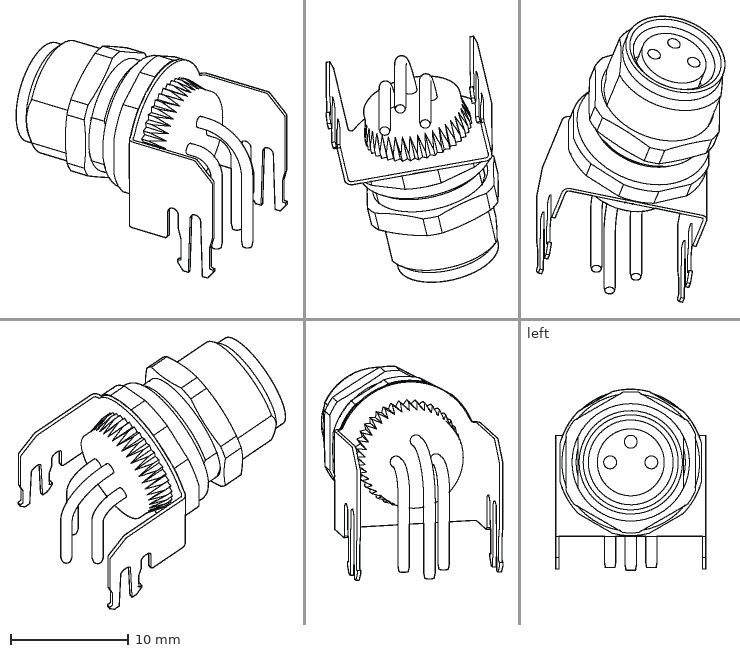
import cadquery as cq
import math


lip_radius = 4.4
lip_length = 1.0
body_radius = 5.0
body_flat_width = 9.0
body_straight_end = 8.7
mouth_radius = 4.05
bore_radius = 3.61

insert_radius = 2.85
insert_recess = 0.47
bead_center_x = 4.13
contact_hole_diameter = 1.1
contact_hole_depth = 4.95

ring_tube_radius = 0.75
ring_center_radius = 5.12
neck_radius = ring_center_radius - ring_tube_radius

flange_start = 10.51
flange_thickness = 1.49
flange_across_flats = 12.02
flange_corner_radius = 6.24
flange_end = flange_start + flange_thickness
ring_center_x = flange_start - ring_tube_radius

tooth_count = 40
tooth_crest_radius = 4.6
collar_radius = 4.21
knurl_taper_start = 12.93
knurl_end = 14.48
collar_end = 15.45
collar_edge_radius = 0.23

nut_start = 5.45
nut_thickness = 2.02
nut_across_flats = 11.0
nut_corner_radius = 6.0
nut_face_radius = 5.45
nut_chamfer_length = 0.17
nut_bore_radius = 4.65

pin_radius = 0.5
pin_tip_radius = 0.41
pin_tip_length = 0.45
pin_circle_radius = 1.75
pin_bend_start = 16.15
pin_reach = 20.65 - pin_radius
side_pin_reach = 18.15
middle_pin_bottom = -9.19
side_pin_bottom = -8.96

sheet = 0.3
bracket_width = 12.8
bracket_top = 2.3
bracket_bottom = -6.3
bracket_arch_radius = 6.15
arch_fillet = 0.3
outer_bend_radius = 0.6
inner_bend_radius = outer_bend_radius - sheet
wing_end = 20.38
wing_corner_cut = 1.73
wing_corner_radius = 0.27
wing_bottom_corner = 0.2

lock_center_x = 18.7
slot_radius = 0.52
slot_center_z = -3.65
slot_bottom_half_width = 0.68
leg_shoulder = wing_end - lock_center_x
leg_waist = 1.4
barb_reach = 1.73
leg_tip = 1.2
shoulder_z = -5.0
waist_z = -6.0
barb_top_z = -8.12
barb_low_z = -8.38
barb_root_radius = 0.12
barb_nose_radius = 0.2
lock_bottom = -9.09


def cylinder_along_x(radius, start, end):
    return cq.Workplane("YZ").workplane(offset=start).circle(radius).extrude(end - start)


def revolve_about_x(profile):
    return profile.close().revolve(360, (0, 0, 0), (1, 0, 0))


def hexagonal_prism(across_flats, start, thickness):
    """Hexagonal prism along X with one pair of flats facing +Y and -Y."""
    across_corners = across_flats / math.cos(math.pi / 6)
    prism = cq.Workplane("YZ").workplane(offset=start).polygon(6, across_corners).extrude(thickness)
    return prism.rotate((0, 0, 0), (1, 0, 0), 30)


def make_sleeve():
    """Solid front sleeve with lip, chamfered ends and two wrench flats."""
    front_chamfer = body_radius - lip_radius
    rear_chamfer = body_radius - neck_radius
    sleeve = revolve_about_x(
        cq.Workplane("XY")
        .lineTo(0, lip_radius)
        .lineTo(lip_length, lip_radius)
        .lineTo(lip_length + front_chamfer, body_radius)
        .lineTo(body_straight_end, body_radius)
        .lineTo(body_straight_end + rear_chamfer, neck_radius)
        .lineTo(body_straight_end + rear_chamfer, 0)
    )
    flat_limits = cq.Workplane("XY").box(2 * flange_end, body_flat_width, 2 * body_radius)
    return sleeve.intersect(flat_limits)


def make_shell():
    """Sleeve with the neck that carries the sealing ring and the socket cavity."""
    neck = cylinder_along_x(neck_radius, body_straight_end, flange_start)

    mouth_chamfer = mouth_radius - bore_radius
    cavity = revolve_about_x(
        cq.Workplane("XY")
        .lineTo(0, mouth_radius)
        .lineTo(mouth_chamfer, bore_radius)
        .lineTo(bead_center_x, bore_radius)
        .lineTo(bead_center_x, insert_radius)
        .lineTo(insert_recess, insert_radius)
        .lineTo(insert_recess, 0)
    )
    return make_sleeve().union(neck).cut(cavity)


def make_bead():
    """Rounded floor of the annular gap between the bore and the insert."""
    gap = bore_radius - insert_radius
    return revolve_about_x(
        cq.Workplane("XY")
        .moveTo(bead_center_x, insert_radius)
        .threePointArc((bead_center_x - gap / 2, insert_radius + gap / 2), (bead_center_x, bore_radius))
        .lineTo(bead_center_x + gap, bore_radius)
        .lineTo(bead_center_x + gap, insert_radius)
    )


def make_contact_holes():
    centers = [(pin_circle_radius, 0), (-pin_circle_radius, 0), (0, pin_circle_radius)]
    return (
        cq.Workplane("YZ")
        .workplane(offset=insert_recess)
        .pushPoints(centers)
        .circle(contact_hole_diameter / 2)
        .extrude(contact_hole_depth)
    )


def make_flange():
    prism = hexagonal_prism(flange_across_flats, flange_start, flange_thickness)
    return prism.intersect(cylinder_along_x(flange_corner_radius, flange_start, flange_end))


def make_collar():
    """Rear collar with V-shaped knurl teeth that a cone tapers down to the plain rim."""
    half_pitch = math.pi / tooth_count
    tooth_points = []
    for index in range(2 * tooth_count):
        radius = tooth_crest_radius if index % 2 == 0 else collar_radius
        angle = index * half_pitch
        tooth_points.append((radius * math.cos(angle), radius * math.sin(angle)))
    teeth = (
        cq.Workplane("YZ")
        .workplane(offset=flange_end)
        .polyline(tooth_points)
        .close()
        .extrude(knurl_end - flange_end)
    )
    taper = revolve_about_x(
        cq.Workplane("XY")
        .moveTo(flange_end, 0)
        .lineTo(flange_end, tooth_crest_radius)
        .lineTo(knurl_taper_start, tooth_crest_radius)
        .lineTo(knurl_end, collar_radius)
        .lineTo(knurl_end, 0)
    )
    rim = cylinder_along_x(collar_radius, knurl_end, collar_end)
    rim = rim.faces(">X").edges().fillet(collar_edge_radius)
    return teeth.intersect(taper).union(rim)


def make_pin(y, z, reach, bottom):
    """Round pin leaving the collar along X, bent down, with a tapered tip."""
    bend_radius = reach - pin_bend_start
    bend_mid = bend_radius * math.sin(math.pi / 4)
    path = (
        cq.Workplane("XZ", origin=(0, y, 0))
        .moveTo(knurl_end, z)
        .lineTo(pin_bend_start, z)
        .threePointArc(
            (pin_bend_start + bend_mid, z - bend_radius + bend_mid),
            (reach, z - bend_radius),
        )
        .lineTo(reach, bottom + pin_tip_length)
    )
    wire = cq.Workplane("YZ", origin=(knurl_end, y, z)).circle(pin_radius).sweep(path)
    tip = (
        cq.Workplane("XY", origin=(reach, y, bottom))
        .circle(pin_tip_radius)
        .workplane(offset=pin_tip_length)
        .circle(pin_radius)
        .loft()
    )
    return wire.union(tip)


def board_lock_side(profile, sign):
    """Add one leg of the board lock, from its slot at the tip to its outer shoulder."""
    stations = [
        (slot_bottom_half_width, lock_bottom),
        (leg_tip, lock_bottom),
        (barb_reach, barb_low_z),
        (barb_reach, barb_top_z),
        (leg_waist, barb_top_z),
        (leg_waist, waist_z),
        (leg_shoulder, shoulder_z),
    ]
    if sign < 0:
        stations.reverse()
    for distance, z in stations:
        profile = profile.lineTo(lock_center_x + sign * distance, z)
    return profile


def round_profile_corner(wings, x, z, radius):
    """Fillet the cross-wise edge at one corner of the side outline."""
    corner = cq.selectors.NearestToPointSelector((x, 0, z))
    return wings.edges("|Y").edges(corner).fillet(radius)


def make_wing_profile():
    """Side outline of the bracket, extruded across its whole width."""
    relief_right = lock_center_x - leg_shoulder
    relief_center = relief_right - slot_radius
    relief_left = relief_center - slot_radius
    slot_top = slot_center_z + slot_radius
    profile = (
        cq.Workplane("XZ")
        .moveTo(flange_end, bracket_top)
        .lineTo(flange_end, bracket_bottom)
        .lineTo(relief_left - wing_bottom_corner, bracket_bottom)
        .lineTo(relief_left, bracket_bottom + wing_bottom_corner)
        .lineTo(relief_left, slot_center_z)
        .threePointArc((relief_center, slot_top), (relief_right, slot_center_z))
    )
    profile = board_lock_side(profile, -1)
    profile = profile.lineTo(lock_center_x - slot_radius, slot_center_z).threePointArc(
        (lock_center_x, slot_top), (lock_center_x + slot_radius, slot_center_z)
    )
    profile = board_lock_side(profile, 1)
    profile = profile.lineTo(wing_end, bracket_top - wing_corner_cut).lineTo(
        wing_end - wing_corner_cut, bracket_top
    )
    wings = profile.close().extrude(bracket_width / 2, both=True)
    wings = round_profile_corner(wings, wing_end, bracket_top - wing_corner_cut, wing_corner_radius)
    wings = round_profile_corner(wings, wing_end - wing_corner_cut, bracket_top, wing_corner_radius)
    for sign in (-1, 1):
        leg_x = lock_center_x + sign * leg_waist
        barb_x = lock_center_x + sign * barb_reach
        wings = round_profile_corner(wings, leg_x, barb_top_z, barb_root_radius)
        wings = round_profile_corner(wings, barb_x, barb_low_z, barb_nose_radius)
    return wings


def bent_block(front, width, bend_radius):
    """Tall block from the given front face back to the barb tips, with rounded front corners."""
    length = lock_center_x + barb_reach - front
    height = bracket_top - lock_bottom
    block = cq.Workplane("XY", origin=(front, 0, lock_bottom)).box(
        length, width, height, centered=(False, True, False)
    )
    return block.edges("|Z and <X").fillet(bend_radius)


def make_bracket():
    """Folded sheet: an arched plate behind the flange and two wings with board locks."""
    inner_width = bracket_width - 2 * sheet
    plate_back = flange_end + sheet
    channel = bent_block(flange_end, bracket_width, outer_bend_radius)
    channel = channel.cut(bent_block(plate_back, inner_width, inner_bend_radius))
    arch = cylinder_along_x(bracket_arch_radius, flange_end, plate_back)
    above_plate = (
        cq.Workplane("XY", origin=(0, 0, bracket_top))
        .rect(4 * plate_back, bracket_width)
        .extrude(bracket_arch_radius)
    )
    folded = channel.intersect(make_wing_profile()).union(arch.intersect(above_plate))

    foot_x = (flange_end + plate_back) / 2
    foot_y = math.sqrt(bracket_arch_radius**2 - bracket_top**2)
    for side in (-1, 1):
        foot = cq.selectors.NearestToPointSelector((foot_x, side * foot_y, bracket_top))
        folded = folded.edges("|X").edges(foot).fillet(arch_fillet)
    return folded


def make_connector():
    connector = make_shell().union(make_bead()).cut(make_contact_holes())
    connector = connector.union(make_flange()).union(make_collar()).union(make_bracket())
    for side in (-1, 1):
        connector = connector.union(make_pin(side * pin_circle_radius, 0, side_pin_reach, side_pin_bottom))
    return connector.union(make_pin(0, pin_circle_radius, pin_reach, middle_pin_bottom))


def make_nut():
    """Chamfered hexagon nut whose thread crests reach further in beside the sleeve flats."""
    nut_end = nut_start + nut_thickness
    chamfered_limit = revolve_about_x(
        cq.Workplane("XY")
        .moveTo(nut_start, 0)
        .lineTo(nut_start, nut_face_radius)
        .lineTo(nut_start + nut_chamfer_length, nut_corner_radius)
        .lineTo(nut_end - nut_chamfer_length, nut_corner_radius)
        .lineTo(nut_end, nut_face_radius)
        .lineTo(nut_end, 0)
    )
    nut = hexagonal_prism(nut_across_flats, nut_start, nut_thickness).intersect(chamfered_limit)
    countersink = body_radius - nut_bore_radius
    bore = revolve_about_x(
        cq.Workplane("XY")
        .moveTo(nut_start, 0)
        .lineTo(nut_start, body_radius)
        .lineTo(nut_start + countersink, nut_bore_radius)
        .lineTo(nut_end - countersink, nut_bore_radius)
        .lineTo(nut_end, body_radius)
        .lineTo(nut_end, 0)
    )
    return nut.cut(bore).cut(make_sleeve())


def make_sealing_ring():
    return (
        cq.Workplane("XY")
        .center(ring_center_x, ring_center_radius)
        .circle(ring_tube_radius)
        .revolve(360, (0, -ring_center_radius, 0), (1, -ring_center_radius, 0))
    )


connector = make_connector()
nut = make_nut()
sealing_ring = make_sealing_ring()

result = cq.Compound.makeCompound([connector.val(), nut.val(), sealing_ring.val()])